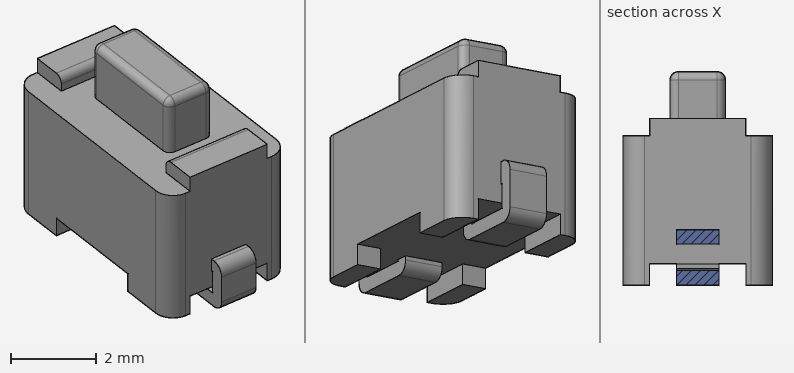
import cadquery as cq

overall_length = 6.8
overall_height = 5.0

body_length = 6.0
body_width = 3.5
body_height = 3.5
body_corner_radius = 0.5

channel_height = 0.5
cross_channel_length = 2.8

tab_width = 2.245
tab_length = 0.945
tab_height = 0.4
tab_radius = 0.2

button_length = 3.0
button_width = 1.3
button_radius = 0.2

lead_width = 1.0
lead_thickness = 0.36
lead_bend_radius = 0.3
lead_arm_underside = 0.965
left_lead_height = 1.515
right_lead_height = 1.305
lead_tip_height = 0.4
lead_tip_x = 1.3
lead_embed = 0.205


def block(length, width, bottom, top):
    """Box centred in X and Y between two heights."""
    return (
        cq.Workplane("XY")
        .workplane(offset=bottom)
        .rect(length, width)
        .extrude(top - bottom)
    )


def make_housing():
    housing = block(body_length, body_width, 0, body_height)
    housing = housing.edges("|Z").fillet(body_corner_radius)
    lengthwise_channel = block(body_length, tab_width, 0, channel_height)
    cross_channel = block(cross_channel_length, body_width, 0, channel_height)
    return housing.cut(lengthwise_channel).cut(cross_channel)


def make_button():
    button = block(button_length, button_width, body_height - button_radius, overall_height)
    return button.edges("|Z or >Z").fillet(button_radius)


def make_right_tab():
    tab = block(tab_length, tab_width, body_height, body_height + tab_height)
    tab = tab.edges("<X and >Z").fillet(tab_radius)
    return tab.translate(((body_length - tab_length) / 2, 0, 0))


def make_right_lead(height):
    """Lead leaving the +X wall, bent down and back under the housing to an upturned tip."""
    outer_x = overall_length / 2
    inner_x = outer_x - lead_thickness
    root_x = body_length / 2 - lead_embed
    outline = [
        (root_x, height),
        (outer_x, height),
        (outer_x, 0),
        (lead_tip_x, 0),
        (lead_tip_x, lead_tip_height),
        (lead_tip_x + lead_thickness, lead_tip_height),
        (lead_tip_x + lead_thickness, lead_thickness),
        (inner_x, lead_thickness),
        (inner_x, lead_arm_underside),
        (root_x, lead_arm_underside),
    ]
    lead = cq.Workplane("XZ").polyline(outline).close().extrude(lead_width / 2, both=True)
    outer_bends = lead.edges("|Y and >X").fillet(lead_bend_radius)
    return outer_bends.edges("|Y and <X and <Z").fillet(lead_bend_radius)


result = make_housing().union(make_button())

right_tab = make_right_tab()
result = result.union(right_tab).union(right_tab.mirror("YZ"))

result = result.union(make_right_lead(right_lead_height))
result = result.union(make_right_lead(left_lead_height).mirror("YZ"))